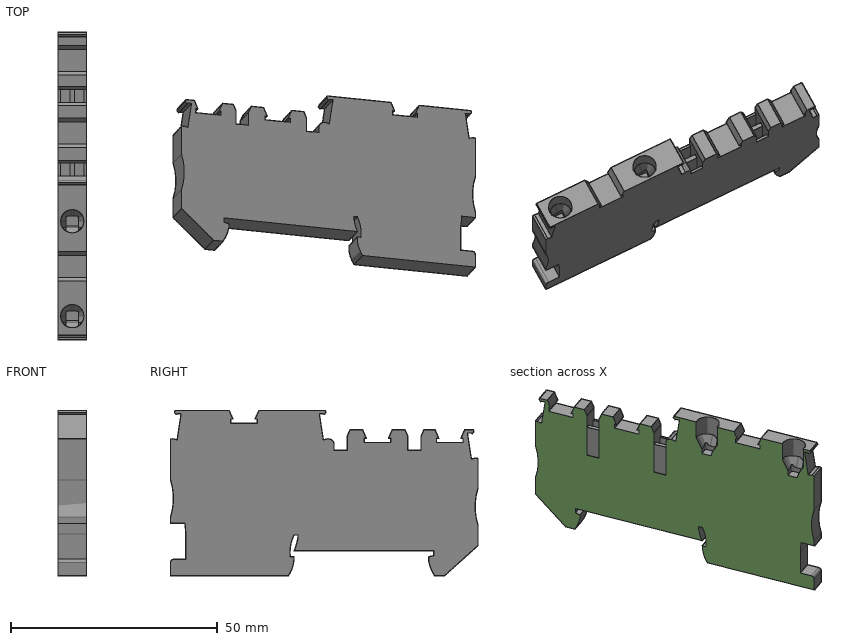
import cadquery as cq
import math


WIDTH = 7.0
LENGTH = 74.4
HIGH_DECK = 40.0
LOW_DECK = 35.35

FRONT_WALL = 2.55
MIDDLE_WALL = 36.05
REAR_WALL = LENGTH - FRONT_WALL
LIP_REACH = 1.42
LIP_TIP_REACH = 1.6
LIP_TIP_DROP = 0.5
LIP_BARB_REACH = 1.15
LIP_BARB_DROP = 1.05
LIP_THICKNESS = 0.85
FOOT_REACH = 0.95
FOOT_DROP = 7.1
CREST_REACH = 2.0
CREST_DROP = 6.85
LEDGE_REACH = FRONT_WALL
LEDGE_DROP = 6.95

SHOULDER_HEIGHT = 31.6

MARKER_MOUTH = 7.15
MARKER_NECK = 5.3
MARKER_FLOOR = 6.35
MARKER_NECK_DEPTH = 2.1
MARKER_DEPTH = 3.1
HIGH_MARKER_Y = 17.8
LOW_MARKER_YS = (67.57, 50.05)

SLOT_WIDTH = 3.15
SLOT_PITCH = 17.85
SLOT_EDGE_Y = 39.58
SLOT_FLOOR = 30.4
SLOT_CHAMFER_RUN = 0.7
SLOT_CHAMFER_DROP = 1.6
POCKET_INNER_X = 0.5
POCKET_OUTER_X = 2.9
POCKET_DEPTH = 8.0

DENT_HEIGHT = 9.0
DENT_DEPTH = 0.7
FRONT_DENT_Z = 18.7
REAR_DENT_Z = 16.7

RAIL_CEILING = 6.0
RAIL_REAR_Y = 63.65
HOOK_REACH = 1.2
HOOK_ROOT_Z = 4.9
HOOK_NOSE_TOP_Z = 4.6
HOOK_NOSE_BOTTOM_Z = 3.4
HOOK_BASE_Y = 63.85
HOOK_BULGE = 0.16
CLAMP_NOSE_Y = 29.9
CLAMP_NOSE_Z = 4.65
CLAMP_BASE_Y = 28.55
CLAMP_BULGE = 0.4
SLIT_FRONT_Y = 29.0
SLIT_TOP_Z = 9.8
SLIT_TOP_WIDTH = 0.9
SLIT_REAR_EDGE_Z = 9.2
SLIT_FRONT_BULGE = 0.37
SLIT_REAR_BULGE = 0.1

FOOT_BEVEL_LENGTH = 8.1
FOOT_BEVEL_HEIGHT = 7.3

NOTCH_TOP = 12.7
NOTCH_STEP = 10.1
NOTCH_BOTTOM = 4.0
NOTCH_TOP_DEPTH = 3.5
NOTCH_DEPTH = 3.7
NOTCH_CORNER_RADIUS = 0.8

WIRE_ENTRY_YS = (5.75, 28.7)
BORE_RADIUS = 2.8
BORE_DEPTH = 4.2
FUNNEL_DEPTH = 3.2
FUNNEL_ANGLE = 28.0
WINDOW_HALF_WIDTH = 1.5
WINDOW_FRONT = 1.5
WINDOW_REAR = 1.25
WELL_DEPTH = 1.3
WELL_CORNER_RADIUS = 0.4
WELL_RAMP_RUN = 0.4


def prism(outline):
    """Extrude a closed Y-Z outline over the full width, centred on X = 0."""
    return outline.extrude(WIDTH / 2, both=True)


def deck_end(wall, deck, outward):
    """Outline of an overhanging deck end, from its ledge up to the deck."""
    offsets = [
        (LEDGE_REACH, LEDGE_DROP),
        (CREST_REACH, CREST_DROP),
        (FOOT_REACH, FOOT_DROP),
        (0, LIP_THICKNESS),
        (LIP_THICKNESS, LIP_THICKNESS),
        (LIP_BARB_REACH, LIP_BARB_DROP),
        (LIP_TIP_REACH, LIP_TIP_DROP),
        (LIP_REACH, 0),
    ]
    return [(wall + outward * reach, deck - drop) for reach, drop in offsets]


def make_body():
    rear_end = deck_end(REAR_WALL, LOW_DECK, 1)
    middle_end = deck_end(MIDDLE_WALL, HIGH_DECK, 1)
    front_end = deck_end(FRONT_WALL, HIGH_DECK, -1)
    to_shoulder = [
        (0, 0),
        (LENGTH - FOOT_BEVEL_LENGTH, 0),
        (LENGTH, FOOT_BEVEL_HEIGHT),
        *rear_end,
        (SLOT_EDGE_Y, LOW_DECK),
        (SLOT_EDGE_Y, SHOULDER_HEIGHT),
    ]
    ledge_y, ledge_z = middle_end[0]
    bulge = math.sqrt(0.5)
    shoulder_middle = (
        ledge_y + (SLOT_EDGE_Y - ledge_y) * bulge,
        SHOULDER_HEIGHT + (ledge_z - SHOULDER_HEIGHT) * bulge,
    )
    outline = (
        cq.Workplane("YZ")
        .polyline(to_shoulder)
        .threePointArc(shoulder_middle, middle_end[0])
        .polyline(middle_end[1:] + front_end[::-1], includeCurrent=True)
        .close()
    )
    return prism(outline)


def marker_groove(y, deck):
    half_outline = [
        (MARKER_MOUTH / 2, 0),
        (MARKER_NECK / 2, MARKER_NECK_DEPTH),
        (MARKER_FLOOR / 2, MARKER_NECK_DEPTH),
        (MARKER_FLOOR / 2, MARKER_DEPTH),
    ]
    front_side = [(y - half, deck - depth) for half, depth in half_outline]
    rear_side = [(y + half, deck - depth) for half, depth in half_outline]
    return prism(cq.Workplane("YZ").polyline(front_side + rear_side[::-1]).close())


def bridge_slot(edge_y, front_chamfer):
    """Slot with its -Y wall at edge_y, chamfered at the mouth, and its two pockets."""
    far_y = edge_y + SLOT_WIDTH
    chamfer_z = LOW_DECK - SLOT_CHAMFER_DROP
    points = [
        (edge_y, SLOT_FLOOR),
        (far_y, SLOT_FLOOR),
        (far_y, chamfer_z),
        (far_y + SLOT_CHAMFER_RUN, LOW_DECK),
    ]
    if front_chamfer:
        points += [(edge_y - SLOT_CHAMFER_RUN, LOW_DECK), (edge_y, chamfer_z)]
    else:
        points += [(edge_y, LOW_DECK)]
    slot = prism(cq.Workplane("YZ").polyline(points).close())
    pocket_x = (POCKET_INNER_X + POCKET_OUTER_X) / 2
    pockets = (
        cq.Workplane("XY", origin=(0, edge_y + SLOT_WIDTH / 2, SLOT_FLOOR))
        .pushPoints([(-pocket_x, 0), (pocket_x, 0)])
        .rect(POCKET_OUTER_X - POCKET_INNER_X, SLOT_WIDTH)
        .extrude(-POCKET_DEPTH)
    )
    return slot.union(pockets)


def finger_dent(end_y, inward, z):
    half = DENT_HEIGHT / 2
    outline = (
        cq.Workplane("YZ")
        .moveTo(end_y, z - half)
        .threePointArc((end_y + inward * DENT_DEPTH, z), (end_y, z + half))
        .close()
    )
    return prism(outline)


def rail_opening():
    """Room for the rail, including the slit that frees the clamping foot."""
    slit_rear_y = CLAMP_NOSE_Y + SLIT_TOP_WIDTH
    hook_nose_y = RAIL_REAR_Y - HOOK_REACH
    outline = (
        cq.Workplane("YZ")
        .moveTo(CLAMP_BASE_Y, 0)
        .sagittaArc((CLAMP_NOSE_Y, CLAMP_NOSE_Z), -CLAMP_BULGE)
        .lineTo(SLIT_FRONT_Y, CLAMP_NOSE_Z)
        .sagittaArc((CLAMP_NOSE_Y, SLIT_TOP_Z), SLIT_FRONT_BULGE)
        .lineTo(slit_rear_y, SLIT_TOP_Z)
        .lineTo(slit_rear_y, SLIT_REAR_EDGE_Z)
        .sagittaArc((CLAMP_NOSE_Y, RAIL_CEILING), SLIT_REAR_BULGE)
        .lineTo(RAIL_REAR_Y, RAIL_CEILING)
        .lineTo(RAIL_REAR_Y, HOOK_ROOT_Z)
        .lineTo(hook_nose_y, HOOK_NOSE_TOP_Z)
        .lineTo(hook_nose_y, HOOK_NOSE_BOTTOM_Z)
        .sagittaArc((HOOK_BASE_Y, 0), -HOOK_BULGE)
        .close()
    )
    return prism(outline)


def front_notch():
    r = NOTCH_CORNER_RADIUS
    middle = r * (1 - math.sqrt(0.5))
    outline = (
        cq.Workplane("YZ")
        .moveTo(0, NOTCH_TOP)
        .lineTo(NOTCH_TOP_DEPTH, NOTCH_TOP)
        .lineTo(NOTCH_DEPTH, NOTCH_STEP)
        .lineTo(NOTCH_DEPTH, NOTCH_BOTTOM)
        .lineTo(r, NOTCH_BOTTOM)
        .threePointArc((middle, NOTCH_BOTTOM - middle), (0, NOTCH_BOTTOM - r))
        .close()
    )
    return prism(outline)


def funnel_window(y, z):
    """Bottom outline of the funnel: square corners towards -Y, rounded corners towards +Y."""
    r = WINDOW_REAR
    w = WINDOW_HALF_WIDTH
    return (
        cq.Workplane("XY", origin=(0, y, z))
        .moveTo(-w, -WINDOW_FRONT)
        .lineTo(w, -WINDOW_FRONT)
        .lineTo(w, 0)
        .radiusArc((w - r, r), -r)
        .lineTo(r - w, r)
        .radiusArc((-w, 0), -r)
        .close()
    )


def wire_entry(y):
    funnel_top = HIGH_DECK - BORE_DEPTH
    window_z = funnel_top - FUNNEL_DEPTH
    full_depth = BORE_DEPTH + FUNNEL_DEPTH
    deck_plane = cq.Workplane("XY", origin=(0, y, HIGH_DECK))
    bore = deck_plane.circle(BORE_RADIUS).extrude(-BORE_DEPTH)
    core = deck_plane.circle(BORE_RADIUS).extrude(-full_depth)
    funnel = funnel_window(y, window_z).extrude(FUNNEL_DEPTH, taper=-FUNNEL_ANGLE).intersect(core)
    front_y = y - WINDOW_FRONT
    well_floor = window_z - WELL_DEPTH
    ramp_points = [
        (front_y, window_z),
        (front_y, well_floor),
        (front_y + WELL_RAMP_RUN, well_floor),
    ]
    ramp = prism(cq.Workplane("YZ").polyline(ramp_points).close())
    well_length = WINDOW_FRONT + WINDOW_REAR
    well = (
        cq.Workplane("XY", origin=(0, front_y + well_length / 2, well_floor))
        .rect(2 * WINDOW_HALF_WIDTH, well_length)
        .extrude(WELL_DEPTH + FUNNEL_DEPTH)
        .edges("|Z and >Y")
        .fillet(WELL_CORNER_RADIUS)
        .cut(ramp)
    )
    return bore.union(funnel).union(well)


result = make_body()
result = result.cut(marker_groove(HIGH_MARKER_Y, HIGH_DECK))
for marker_y in LOW_MARKER_YS:
    result = result.cut(marker_groove(marker_y, LOW_DECK))
result = result.cut(bridge_slot(SLOT_EDGE_Y, front_chamfer=False))
result = result.cut(bridge_slot(SLOT_EDGE_Y + SLOT_PITCH, front_chamfer=True))
result = result.cut(finger_dent(0, 1, FRONT_DENT_Z))
result = result.cut(finger_dent(LENGTH, -1, REAR_DENT_Z))
result = result.cut(rail_opening())
result = result.cut(front_notch())
for entry_y in WIRE_ENTRY_YS:
    result = result.cut(wire_entry(entry_y))